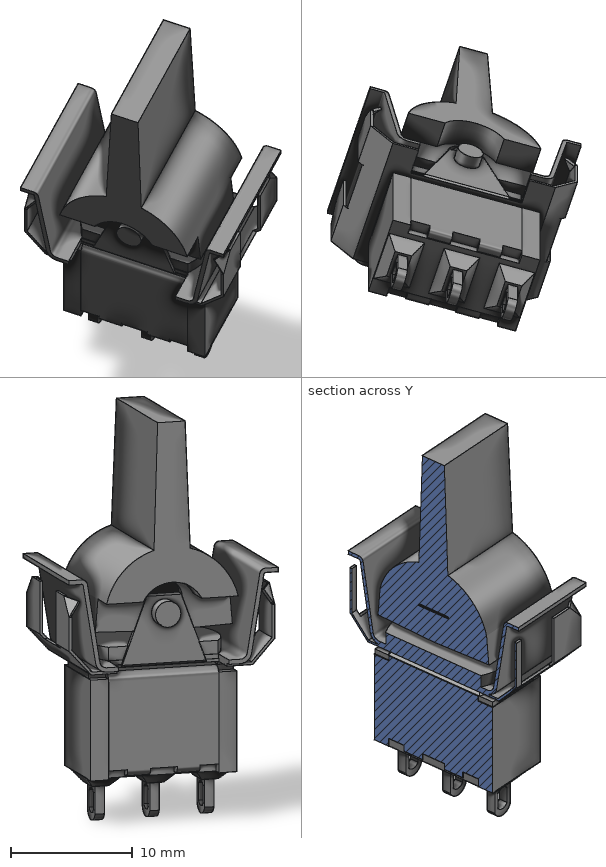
import cadquery as cq
import math


TERMINAL_PITCH = 4.75
TERMINAL_THICKNESS = 0.82
TERMINAL_WIDTH = 2.0
TIP_RADIUS = 1.1
EYE_WIDTH = 1.15
EYE_BOTTOM, EYE_TOP = 0.65, 2.73
EYE_CROWN = 0.3
CONE_BOTTOM = 3.05
CONE_TOP_SIZE = (3.07, 4.37)
CONE_BOTTOM_SIZE = (1.45, 2.4)

BODY_BOTTOM = 4.0
BODY_LENGTH = 12.65
BODY_WIDTH = 6.9
BODY_SHOULDER = 12.45
BODY_TOP = 12.93
CORE_LENGTH = 12.55
CORE_WIDTH = 5.3
COVER_LENGTH = 9.55
COVER_PROUD = 0.05
COVER_BOTTOM = 4.75
COVER_ROUND = 0.75
CRIMP_OFFSET = 2.15
CRIMP_WIDTH = 1.98
CRIMP_BOTTOM = 4.15
CRIMP_ROUND = 0.48
PLATEAU_DIAMETER = 11.05
PLATEAU_TAPER_ANGLE = 45

CLIP_THICKNESS = 0.25
CLIP_BOTTOM = 13.35
CLIP_WIDTH = 11.2
CLIP_BASE_HALF = 7.0
CLIP_ARM_X = 8.9
CLIP_ELBOW_Z = 15.42
CLIP_TOP = 19.85
CLIP_SLOT_WIDTH = 4.2
CLIP_SLOT_BOTTOM = 15.05
FLAP_WIDTH = 1.45
FLAP_HEIGHT = 1.57
FLAP_TIP = (8.02, 5.43, 19.6)

FRAME_LENGTH = 18.15
FRAME_WIDTH = 12.08
FRAME_THICKNESS = 0.38
FRAME_BOTTOM = CLIP_BOTTOM + CLIP_THICKNESS
FRAME_FLANGE_TOP = 21.45
FRAME_OPENING = 9.55
FRAME_FOOT_BEND_X = 6.62
FRAME_FLANGE_BEND_X = 7.47
FOOT_BEND_RADIUS = 0.6
FLANGE_BEND_RADIUS = 0.15

FRAME_BRIDGE_WIDTH = 6.7
CLIP_BRIDGE_WIDTH = 6.8
BUSHING_DIAMETER = 11.53
BUSHING_WIDTH = 6.55
BUSHING_TOP = 15.08
BRACKET_FACE_Y = 3.55
BRACKET_THICKNESS = 0.4
BRACKET_TOP = 19.2
BRACKET_TOP_HALF = 1.5
BRACKET_BASE_HALF = 3.72
BRACKET_BOTTOM_CHAMFER = 0.2
PIN_Z = 17.8
PIN_DIAMETER = 2.2
PIN_LENGTH = 9.2

OVERALL_HEIGHT = 34.12
HANDLE_TOP_HALF = 1.2
HANDLE_BASE_HALF = 1.57
LEVER_TOP_WIDTH = 10.92
LEVER_EAR_WIDTH = 11.45
DOME_RADIUS = 5.87
EAR_BOTTOM = 19.2
ROCKER_WIDTH = 6.9
ROCKER_END_X = 5.95
ROCKER_END_Z = 16.45
ROCKER_MIDDLE_Z = 16.25
NOTCH_RADIUS = 2.9
RELIEF_DIAMETER = 3.2
RELIEF_CENTER_Z = 18.9
RELIEF_DEPTH = 0.85


def box_between(length, width, bottom, top):
    """Box centred on the Z axis between two heights."""
    return (
        cq.Workplane("XY")
        .workplane(offset=bottom)
        .rect(length, width)
        .extrude(top - bottom)
    )


def extrude_along_y(points, width):
    """Closed XZ outline extruded symmetrically about the XZ plane."""
    return cq.Workplane("XZ").polyline(points).close().extrude(width / 2, both=True)


def with_mirror(shape, plane):
    """Shape joined with its mirror image across a plane through the origin."""
    return shape.union(shape.mirror(plane))


def thickened_path(points, thickness):
    """XZ path and its copy offset to the left by the thickness, mitred at the bends."""
    directions = []
    for start, end in zip(points, points[1:]):
        length = math.dist(start, end)
        directions.append(((end[0] - start[0]) / length, (end[1] - start[1]) / length))
    before = [directions[0]] + directions
    after = directions + [directions[-1]]
    far_side = []
    for point, a, b in zip(points, before, after):
        scale = thickness / (1 + a[0] * b[0] + a[1] * b[1])
        far_side.append((point[0] - (a[1] + b[1]) * scale, point[1] + (a[0] + b[0]) * scale))
    return points, far_side


def make_terminal():
    half = TERMINAL_WIDTH / 2
    tip_rise = TIP_RADIUS - math.sqrt(TIP_RADIUS**2 - half**2)
    blade = (
        cq.Workplane("YZ")
        .moveTo(-half, BODY_BOTTOM)
        .lineTo(-half, tip_rise)
        .threePointArc((0, 0), (half, tip_rise))
        .lineTo(half, BODY_BOTTOM)
        .close()
        .extrude(TERMINAL_THICKNESS / 2, both=True)
    )
    eye_half = EYE_WIDTH / 2
    eye = (
        cq.Workplane("YZ")
        .moveTo(-eye_half, EYE_BOTTOM + EYE_CROWN)
        .threePointArc((0, EYE_BOTTOM), (eye_half, EYE_BOTTOM + EYE_CROWN))
        .lineTo(eye_half, EYE_TOP - EYE_CROWN)
        .threePointArc((0, EYE_TOP), (-eye_half, EYE_TOP - EYE_CROWN))
        .close()
        .extrude(TERMINAL_THICKNESS, both=True)
    )
    cone = (
        cq.Workplane("XY")
        .workplane(offset=BODY_BOTTOM)
        .rect(*CONE_TOP_SIZE)
        .workplane(offset=CONE_BOTTOM - BODY_BOTTOM)
        .rect(*CONE_BOTTOM_SIZE)
        .loft(ruled=True)
    )
    return blade.cut(eye).union(cone)


def make_body():
    body = box_between(CORE_LENGTH, CORE_WIDTH, BODY_BOTTOM, BODY_TOP)
    shoulders = box_between(BODY_LENGTH, BODY_WIDTH, BODY_BOTTOM, BODY_SHOULDER)
    middle_gap = box_between(COVER_LENGTH, BODY_WIDTH, BODY_BOTTOM, BODY_SHOULDER)
    plateau_base = cq.Workplane("XY").workplane(offset=BODY_TOP)
    plateau_height = CLIP_BOTTOM - BODY_TOP
    cone = plateau_base.circle(PLATEAU_DIAMETER / 2).extrude(plateau_height, taper=PLATEAU_TAPER_ANGLE)
    wedge = plateau_base.rect(BODY_LENGTH, CORE_WIDTH)
    wedge = wedge.extrude(plateau_height, taper=PLATEAU_TAPER_ANGLE)
    plateau = cone.intersect(wedge)
    return body.union(shoulders.cut(middle_gap)).union(plateau)


def make_cover():
    """Sheet-metal cover over the middle of the body, crimped under its bottom edge."""
    width = BODY_WIDTH + 2 * COVER_PROUD
    cover = box_between(COVER_LENGTH, width, COVER_BOTTOM, BODY_TOP)
    cover = cover.edges("|X and >Z").fillet(COVER_ROUND)
    crimp = box_between(CRIMP_WIDTH, width, CRIMP_BOTTOM, COVER_BOTTOM)
    crimp = crimp.edges("|X and <Z").fillet(CRIMP_ROUND)
    for side in (-1, 1):
        cover = cover.union(crimp.translate((side * CRIMP_OFFSET, 0, 0)))
    return cover


def make_corner_flap():
    """Corner of a clip arm folded inwards along a diagonal."""
    half = CLIP_WIDTH / 2
    fold_top = cq.Vector(CLIP_ARM_X, half - FLAP_WIDTH, CLIP_TOP)
    fold_side = cq.Vector(CLIP_ARM_X, half, CLIP_TOP - FLAP_HEIGHT)
    tip = cq.Vector(*FLAP_TIP)
    fold = fold_side - fold_top
    plane = cq.Plane(fold_top, fold, (tip - fold_top).cross(fold))
    corners = [plane.toLocalCoords(v) for v in (fold_top, fold_side, tip)]
    flap = cq.Workplane(plane).polyline([(c.x, c.y) for c in corners]).close()
    return flap.extrude(CLIP_THICKNESS)


def make_clip():
    half = CLIP_WIDTH / 2
    path = [
        (FRAME_OPENING / 2, CLIP_BOTTOM),
        (CLIP_BASE_HALF, CLIP_BOTTOM),
        (CLIP_ARM_X, CLIP_ELBOW_Z),
        (CLIP_ARM_X, CLIP_TOP),
    ]
    outer, inner = thickened_path(path, CLIP_THICKNESS)
    arm = extrude_along_y(outer + inner[::-1], CLIP_WIDTH)
    slot = box_between(2 * FRAME_LENGTH, CLIP_SLOT_WIDTH, CLIP_SLOT_BOTTOM, CLIP_TOP)
    corner = (
        cq.Workplane("YZ")
        .polyline([(half - FLAP_WIDTH, CLIP_TOP), (half, CLIP_TOP), (half, CLIP_TOP - FLAP_HEIGHT)])
        .close()
        .extrude(FRAME_LENGTH)
    )
    arm = arm.cut(slot).cut(with_mirror(corner, "XZ"))
    arm = arm.union(with_mirror(make_corner_flap(), "XZ"))
    bridge = box_between(FRAME_OPENING, CLIP_BRIDGE_WIDTH, CLIP_BOTTOM, FRAME_BOTTOM)
    return with_mirror(arm, "YZ").union(bridge)


def make_frame():
    flange_bottom = FRAME_FLANGE_TOP - FRAME_THICKNESS
    path = [
        (FRAME_OPENING / 2, FRAME_BOTTOM),
        (FRAME_FOOT_BEND_X, FRAME_BOTTOM),
        (FRAME_FLANGE_BEND_X + FRAME_THICKNESS, flange_bottom),
        (FRAME_LENGTH / 2, flange_bottom),
    ]
    outer, inner = thickened_path(path, FRAME_THICKNESS)
    wall = extrude_along_y(outer + inner[::-1], FRAME_WIDTH)
    bends = [
        (outer[1], FOOT_BEND_RADIUS + FRAME_THICKNESS),
        (inner[1], FOOT_BEND_RADIUS),
        (outer[2], FLANGE_BEND_RADIUS),
        (inner[2], FLANGE_BEND_RADIUS + FRAME_THICKNESS),
    ]
    for (x, z), radius in bends:
        wall = wall.edges(cq.NearestToPointSelector((x, 0, z))).fillet(radius)
    foot_top = FRAME_BOTTOM + FRAME_THICKNESS
    bridge = box_between(FRAME_OPENING, FRAME_BRIDGE_WIDTH, FRAME_BOTTOM, foot_top)
    return with_mirror(wall, "YZ").union(bridge)


def make_bushing():
    """Round block with two flats facing the brackets."""
    height = BUSHING_TOP - FRAME_BOTTOM
    base = cq.Workplane("XY").workplane(offset=FRAME_BOTTOM)
    cylinder = base.circle(BUSHING_DIAMETER / 2).extrude(height)
    return cylinder.intersect(box_between(BUSHING_DIAMETER, BUSHING_WIDTH, FRAME_BOTTOM, BUSHING_TOP))


def make_brackets():
    """Two upright triangular brackets and the pivot pin through them."""
    outline = [
        (-BRACKET_BASE_HALF, CLIP_BOTTOM),
        (BRACKET_BASE_HALF, CLIP_BOTTOM),
        (BRACKET_TOP_HALF, BRACKET_TOP),
        (-BRACKET_TOP_HALF, BRACKET_TOP),
    ]
    bracket = (
        cq.Workplane("XZ")
        .workplane(offset=BRACKET_FACE_Y - BRACKET_THICKNESS)
        .polyline(outline)
        .close()
        .extrude(BRACKET_THICKNESS)
    )
    bracket = bracket.edges("<Y and <Z").chamfer(BRACKET_BOTTOM_CHAMFER)
    pin = cq.Workplane("XZ").center(0, PIN_Z).circle(PIN_DIAMETER / 2).extrude(PIN_LENGTH / 2, both=True)
    return with_mirror(bracket, "XZ").union(pin)


def make_lever():
    def dome_z(x):
        """Height of the dome at a distance from the middle."""
        return PIN_Z + math.sqrt(DOME_RADIUS**2 - x**2)

    ear_half = math.sqrt(DOME_RADIUS**2 - (EAR_BOTTOM - PIN_Z) ** 2)
    shoulder_z = dome_z(HANDLE_BASE_HALF)
    arc_x = DOME_RADIUS * math.sqrt(0.5)
    upper = (
        cq.Workplane("XZ")
        .moveTo(-ear_half, EAR_BOTTOM)
        .threePointArc((-arc_x, dome_z(arc_x)), (-HANDLE_BASE_HALF, shoulder_z))
        .lineTo(-HANDLE_TOP_HALF, OVERALL_HEIGHT)
        .lineTo(HANDLE_TOP_HALF, OVERALL_HEIGHT)
        .lineTo(HANDLE_BASE_HALF, shoulder_z)
        .threePointArc((arc_x, dome_z(arc_x)), (ear_half, EAR_BOTTOM))
        .close()
        .extrude(LEVER_EAR_WIDTH / 2, both=True)
    )
    drafted_sides = (
        cq.Workplane("YZ")
        .polyline([
            (-LEVER_EAR_WIDTH / 2, EAR_BOTTOM),
            (LEVER_EAR_WIDTH / 2, EAR_BOTTOM),
            (LEVER_TOP_WIDTH / 2, OVERALL_HEIGHT),
            (-LEVER_TOP_WIDTH / 2, OVERALL_HEIGHT),
        ])
        .close()
        .extrude(DOME_RADIUS, both=True)
    )
    notch = cq.Workplane("XZ").center(0, PIN_Z).circle(NOTCH_RADIUS).extrude(LEVER_EAR_WIDTH, both=True)
    notch = notch.cut(box_between(LEVER_EAR_WIDTH, ROCKER_WIDTH, 0, OVERALL_HEIGHT))
    rocker = extrude_along_y(
        [
            (-ear_half, EAR_BOTTOM),
            (-ROCKER_END_X, ROCKER_END_Z),
            (0, ROCKER_MIDDLE_Z),
            (ROCKER_END_X, ROCKER_END_Z),
            (ear_half, EAR_BOTTOM),
        ],
        ROCKER_WIDTH,
    )
    return upper.intersect(drafted_sides).cut(notch).union(rocker).cut(make_relief())


def make_relief():
    """Arched pockets above the brackets, with back walls that lean outwards at the top."""
    radius = RELIEF_DIAMETER / 2
    face = ROCKER_WIDTH / 2
    arch = (
        cq.Workplane("XZ")
        .center(0, RELIEF_CENTER_Z)
        .circle(radius)
        .extrude(face)
    )
    wedge = (
        cq.Workplane("YZ")
        .polyline([
            (-face, BRACKET_TOP),
            (RELIEF_DEPTH - face, BRACKET_TOP),
            (-face, RELIEF_CENTER_Z + radius),
        ])
        .close()
        .extrude(radius, both=True)
    )
    return with_mirror(arch.intersect(wedge), "XZ")


result = make_body().union(make_cover())
for index in (-1, 0, 1):
    result = result.union(make_terminal().translate((index * TERMINAL_PITCH, 0, 0)))
for section in (make_clip(), make_frame(), make_bushing(), make_lever(), make_brackets()):
    result = result.union(section)